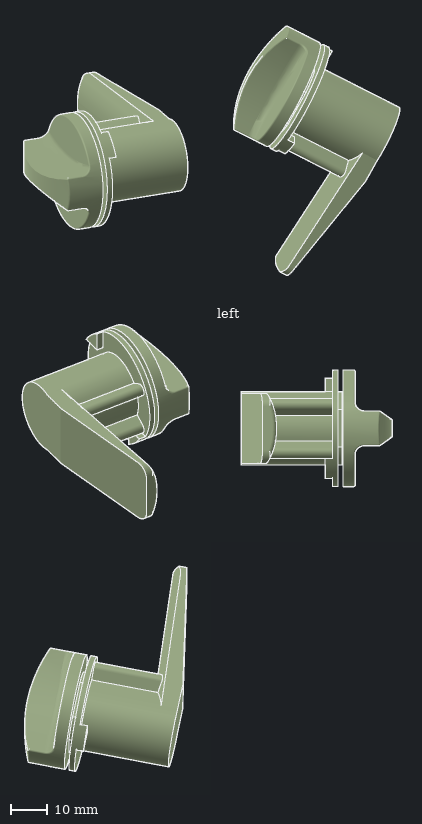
import cadquery as cq
import math

overall_length = 61
knob_diameter = 32.0
knob_radius = knob_diameter / 2
barrel_radius = 10.05

disc_thickness = 3.4
knob_tip_height = 13.6
knob_shoulder_height = 9.95
grip_waist_half = 2.55
grip_end_half = 5.2
grip_root_fillet = 2.5
knob_edge_fillet = 0.5
blank_overhang = 1.8

rib_angle = 30
rib_width = 3.4
rib_round_center = 13.0
rib_back_y = 23.8

washer_front_y = 1.3
washer_back_y = 2.85
boss_front_y = 0.1
boss_corner_radius = 11.3
tab_back_y = 4.9
tab_inner_offset = rib_round_center * math.sin(math.radians(rib_angle)) + rib_width / 2

handle_back_y = 27.9
lever_half_height = 9.6
lever_end_x = knob_radius - overall_length
lever_end_back_y = 22.0
lever_crown_end_y = 18.1
lever_crown_slope = 3.5
lever_crown_drop = 2.55
crown_strip_half = 0.75
lever_corner_radius = 3.55
lever_end_fillet = 1.0


def cylinder(radius, y_start, y_end):
    """Round bar about the Y axis."""
    return cq.Workplane("XZ", origin=(0, y_start, 0)).circle(radius).extrude(y_start - y_end)


def make_grip_bar(half_length):
    """Bar along X whose two long sides are concave arcs."""
    flare = grip_end_half - grip_waist_half
    arc_radius = (knob_radius ** 2 + flare ** 2) / (2 * flare)
    end_half = grip_waist_half + arc_radius - math.sqrt(arc_radius ** 2 - half_length ** 2)
    return (
        cq.Workplane("XZ")
        .moveTo(-half_length, end_half)
        .threePointArc((0, grip_waist_half), (half_length, end_half))
        .lineTo(half_length, -end_half)
        .threePointArc((0, -grip_waist_half), (-half_length, -end_half))
        .close()
        .extrude(knob_tip_height)
    )


def make_front_envelope(half_length):
    """Block with a convex front, which shapes the front of the grip."""
    rise = knob_tip_height - knob_shoulder_height
    arc_radius = (knob_radius ** 2 + rise ** 2) / (2 * rise)
    end_drop = arc_radius - math.sqrt(arc_radius ** 2 - half_length ** 2)
    end_y = end_drop - knob_tip_height
    return (
        cq.Workplane("XY")
        .moveTo(-half_length, 0)
        .lineTo(-half_length, end_y)
        .threePointArc((0, -knob_tip_height), (half_length, end_y))
        .lineTo(half_length, 0)
        .close()
        .extrude(half_length, both=True)
    )


def make_knob():
    """Round disc with a waisted grip bar across its front."""
    blank_half = knob_radius + blank_overhang
    plate = cq.Workplane("XZ").rect(2 * blank_half, 2 * blank_half).extrude(disc_thickness)
    grip = make_grip_bar(blank_half).intersect(make_front_envelope(blank_half))
    blank = plate.union(grip)
    reach = grip_waist_half / 2
    root_zone = cq.selectors.BoxSelector(
        (-reach, -disc_thickness - reach, -grip_end_half),
        (reach, -disc_thickness + reach, grip_end_half),
    )
    blank = blank.edges(root_zone).fillet(grip_root_fillet)
    knob = blank.intersect(cylinder(knob_radius, 0, -knob_tip_height))
    grip_edges = knob.faces("<Y").edges()
    disc_rim_arcs = knob.edges("%CIRCLE").edges("<Z or >Z")
    return grip_edges.add(disc_rim_arcs).fillet(knob_edge_fillet)


def make_tab(side):
    """Corner of the washer's circle raised on its back, at +X +Z or -X -Z."""
    reach = knob_radius - tab_inner_offset
    middle = side * (tab_inner_offset + reach / 2)
    corner = (
        cq.Workplane("XZ", origin=(0, washer_back_y, 0))
        .center(middle, middle)
        .rect(reach, reach)
        .extrude(washer_back_y - tab_back_y)
    )
    return corner.intersect(cylinder(knob_radius, washer_back_y, tab_back_y))


def make_washer():
    """Flat disc with a squared front boss and two tabs behind it."""
    washer = cylinder(knob_radius, washer_front_y, washer_back_y)
    square = (
        cq.Workplane("XZ", origin=(0, boss_front_y, 0))
        .rect(2 * barrel_radius, 2 * barrel_radius)
        .extrude(boss_front_y - washer_front_y)
    )
    boss = square.intersect(cylinder(boss_corner_radius, boss_front_y, washer_front_y))
    washer = washer.union(boss)
    for side in (1, -1):
        washer = washer.union(make_tab(side))
    return washer


def make_lever_side():
    """Lever's side outline: upright free end, tapered back, level root."""
    return (
        cq.Workplane("XY")
        .moveTo(lever_end_x, 0)
        .lineTo(lever_end_x, lever_end_back_y)
        .lineTo(-barrel_radius, handle_back_y)
        .lineTo(0, handle_back_y)
        .lineTo(0, 0)
        .close()
        .extrude(lever_half_height, both=True)
    )


def make_lever_outline():
    """Lever's front outline: a strip with two rounded corners at the free end."""
    return (
        cq.Workplane("XZ")
        .moveTo(lever_end_x / 2, 0)
        .rect(-lever_end_x, 2 * lever_half_height)
        .extrude(-handle_back_y)
        .edges("|Y and <X")
        .fillet(lever_corner_radius)
    )


def make_crown():
    """Bar along X with a crowned front, sloping back towards the barrel."""
    arc_width = lever_half_height - crown_strip_half
    arc_radius = (arc_width ** 2 + lever_crown_drop ** 2) / (2 * lever_crown_drop)
    mid_z = crown_strip_half + arc_width / 2
    mid_drop = arc_radius - math.sqrt(arc_radius ** 2 - (arc_width / 2) ** 2)
    return (
        cq.Workplane("YZ")
        .moveTo(0, -crown_strip_half)
        .lineTo(0, crown_strip_half)
        .threePointArc((mid_drop, mid_z), (lever_crown_drop, lever_half_height))
        .lineTo(handle_back_y, lever_half_height)
        .lineTo(handle_back_y, -lever_half_height)
        .lineTo(lever_crown_drop, -lever_half_height)
        .threePointArc((mid_drop, -mid_z), (0, -crown_strip_half))
        .close()
        .extrude(overall_length, both=True)
        .rotate((0, 0, 0), (0, 0, 1), lever_crown_slope)
        .translate((lever_end_x, lever_crown_end_y, 0))
    )


def make_lever():
    """Flat arm toward -X; its end edge is rounded before its corners are."""
    lever = make_lever_side().intersect(make_crown())
    lever = lever.faces("<X").edges("not(|Y or >Y)").fillet(lever_end_fillet)
    return lever.intersect(make_lever_outline())


def make_rib(angle):
    """Radial rib with a rounded outer end, reaching back into the lever."""
    rib_depth = rib_back_y - washer_back_y
    plane = cq.Workplane("XZ", origin=(0, washer_back_y, 0))
    web = plane.center(-rib_round_center / 2, 0).rect(rib_round_center, rib_width).extrude(-rib_depth)
    rounding = plane.center(-rib_round_center, 0).circle(rib_width / 2).extrude(-rib_depth)
    return web.union(rounding).rotate((0, 0, 0), (0, 1, 0), angle)


def make_handle():
    """Barrel with the lever at its back end and two ribs under the lever."""
    handle = cylinder(barrel_radius, washer_back_y, handle_back_y).union(make_lever())
    for angle in (rib_angle, -rib_angle):
        handle = handle.union(make_rib(angle))
    return handle


knob = make_knob()
washer = make_washer()
handle = make_handle()

result = cq.Compound.makeCompound([knob.val(), washer.val(), handle.val()])